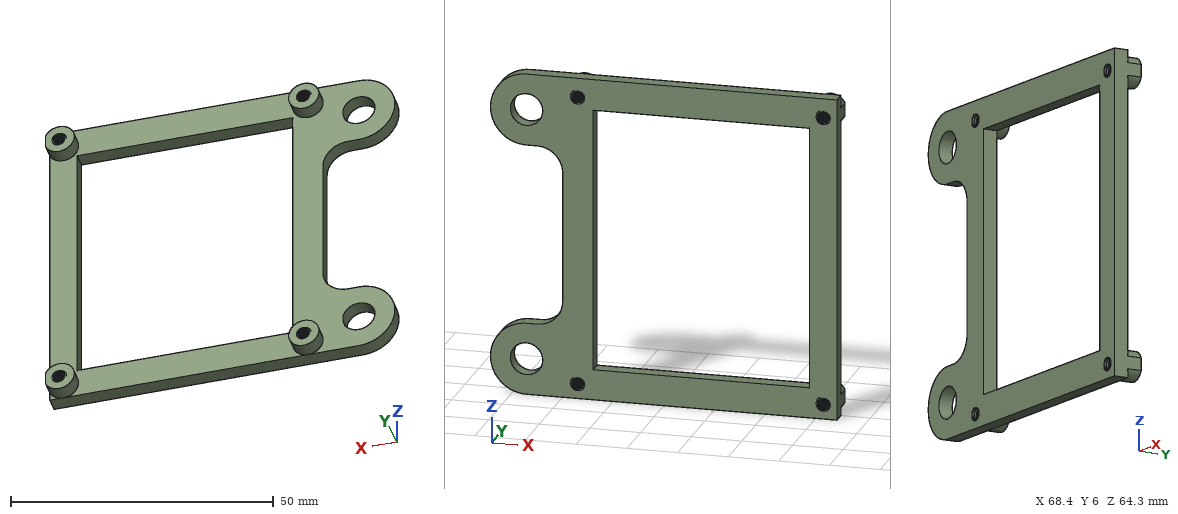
import cadquery as cq

length = 68.43
height = 64.26
plate_thickness = 3.0

ear_hole_diameter = 6.35
ear_hole_spacing = 50.0
ear_radius = (height - ear_hole_spacing) / 2
ear_diameter = 2 * ear_radius
neck_fillet_radius = 5.0

window_width = 42.7
window_height = 52.05
window_bottom = 6.05
window_right_margin = 5.45
window_left = length - window_right_margin - window_width

standoff_diameter = 6.0
standoff_height = 3.0
standoff_left_x = 17.2
standoff_spacing_x = 48.5
standoff_bottom_z = standoff_diameter / 2
standoff_spacing_z = 57.5
standoff_xs = (standoff_left_x, standoff_left_x + standoff_spacing_x)
standoff_zs = (standoff_bottom_z, standoff_bottom_z + standoff_spacing_z)

thread_minor_diameter = 2.27
thread_major_diameter = 2.85
thread_pitch = 0.5
groove_mouth_width = 0.42
groove_root_width = 0.1
thread_start_angle = 37.0
groove_overlap = 0.1
sleeve_diameter = 4.0
bore_depth = plate_thickness + standoff_height


def cylinder(diameter, depth, x, z, start_y=0.0):
    """Cylinder along +Y, centred at (x, z)."""
    return cq.Workplane(
        cq.Solid.makeCylinder(diameter / 2, depth, cq.Vector(x, start_y, z), cq.Vector(0, 1, 0))
    )


def make_plate():
    """Flat plate with two rounded ears and a filleted recess between them."""
    neck_x = ear_diameter
    recess_bottom = ear_diameter
    recess_top = height - ear_diameter
    outline = (
        cq.Workplane("XZ")
        .moveTo(ear_radius, 0)
        .lineTo(length, 0)
        .lineTo(length, height)
        .lineTo(ear_radius, height)
        .threePointArc((0, height - ear_radius), (ear_radius, recess_top))
        .lineTo(neck_x - neck_fillet_radius, recess_top)
        .radiusArc((neck_x, recess_top - neck_fillet_radius), neck_fillet_radius)
        .lineTo(neck_x, recess_bottom + neck_fillet_radius)
        .radiusArc((neck_x - neck_fillet_radius, recess_bottom), neck_fillet_radius)
        .lineTo(ear_radius, recess_bottom)
        .threePointArc((0, ear_radius), (ear_radius, 0))
        .close()
    )
    return outline.extrude(-plate_thickness)


def make_window():
    """Rectangular cutter through the plate."""
    window = cq.Workplane("XY").box(window_width, plate_thickness, window_height, centered=False)
    return window.translate((window_left, 0, window_bottom))


def make_thread_groove():
    """Helical groove cutter about the Y axis, running one pitch past both ends of the bore."""
    minor_radius = thread_minor_diameter / 2
    major_radius = thread_major_diameter / 2
    inner_radius = minor_radius - groove_overlap
    groove_length = bore_depth + 2 * thread_pitch
    helix = cq.Wire.makeHelix(thread_pitch, groove_length, minor_radius)
    profile = (
        cq.Workplane("XZ")
        .moveTo(inner_radius, -groove_mouth_width / 2)
        .lineTo(major_radius, -groove_root_width / 2)
        .lineTo(major_radius, groove_root_width / 2)
        .lineTo(inner_radius, groove_mouth_width / 2)
        .close()
    )
    groove = profile.sweep(cq.Workplane(helix), isFrenet=True)
    upright_groove = groove.rotate((0, 0, 0), (0, 0, 1), thread_start_angle).translate((0, 0, -thread_pitch))
    return upright_groove.rotate((0, 0, 0), (1, 0, 0), -90)


def make_threaded_sleeve():
    """Sleeve along the Y axis carrying the internal thread."""
    blank = cylinder(sleeve_diameter, bore_depth, 0, 0)
    bore = cylinder(thread_minor_diameter, bore_depth, 0, 0)
    return blank.cut(make_thread_groove()).cut(bore)


def make_standoffs():
    """Four round posts on the back face, trimmed flush with the plate's outer edges."""
    envelope = cq.Workplane("XY").box(length, bore_depth, height, centered=False)
    posts = cq.Workplane("XY")
    for x in standoff_xs:
        for z in standoff_zs:
            posts = posts.union(cylinder(standoff_diameter, standoff_height, x, z, plate_thickness))
    return posts.intersect(envelope)


result = make_plate().cut(make_window())
for ear_z in (ear_radius, height - ear_radius):
    result = result.cut(cylinder(ear_hole_diameter, plate_thickness, ear_radius, ear_z))

result = result.union(make_standoffs())

threaded_sleeve = make_threaded_sleeve()
for x in standoff_xs:
    for z in standoff_zs:
        result = result.cut(cylinder(sleeve_diameter, bore_depth, x, z))
        result = result.union(threaded_sleeve.translate((x, 0, z)))